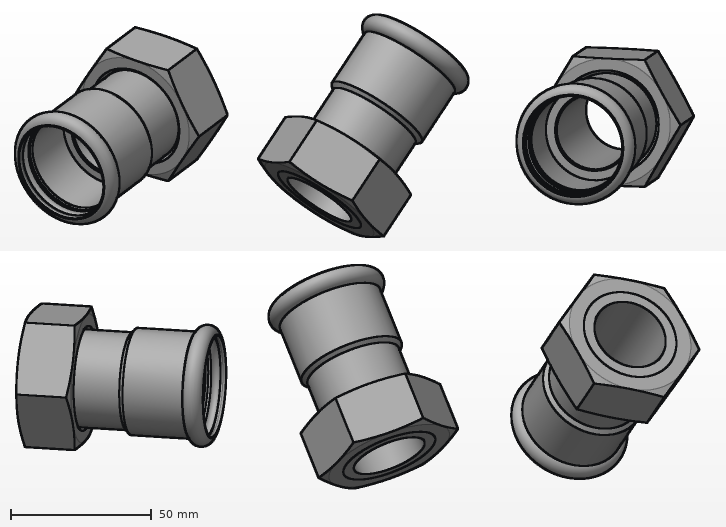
import cadquery as cq
import math

total_length = 67.1

neck_radius = 35.0 / 2
socket_radius = 38.4 / 2
bead_radius = 43.6 / 2
bead_length = 7.4
bead_round = bead_length / 2
shoulder_start = 29.1
shoulder_end = 30.75

bore_radius = 27.0 / 2
bore_chamfer = 0.5
socket_bore_radius = 34.75 / 2
socket_depth = 26.85
mouth_radius = 37.05 / 2
lip_radius = 35.8 / 2
lip_end = 1.1
lip_middle_radius = 18.05
lip_middle = 0.35
groove_radius = 39.1 / 2
groove_start = 2.0
groove_end = 5.4
taper_start = 6.45
taper_end = 7.3

across_flats = 46.0
nut_length = 20.0
nut_start = total_length - nut_length
corner_chamfer_angle = math.radians(15)
lead_in_radius = 37.45 / 2


def revolve_about_y(profile):
    """Turn a closed radius-against-Y profile into a solid."""
    return profile.close().revolve(360, (0, 0, 0), (0, 1, 0))


def make_chamfer_envelope(corner_radius):
    """Turned shape that bevels the hexagon corners at both nut faces."""
    face_radius = across_flats / 2
    drop = (corner_radius - face_radius) * math.tan(corner_chamfer_angle)
    return revolve_about_y(
        cq.Workplane("XY")
        .moveTo(0, nut_start)
        .lineTo(face_radius, nut_start)
        .lineTo(corner_radius, nut_start + drop)
        .lineTo(corner_radius, total_length - drop)
        .lineTo(face_radius, total_length)
        .lineTo(0, total_length)
    )


def make_nut_hole():
    """Hole that fits the neck, with a 45 degree lead-in on the socket side."""
    lead_in_depth = lead_in_radius - neck_radius
    return revolve_about_y(
        cq.Workplane("XY")
        .moveTo(0, nut_start)
        .lineTo(lead_in_radius, nut_start)
        .lineTo(neck_radius, nut_start + lead_in_depth)
        .lineTo(neck_radius, total_length)
        .lineTo(0, total_length)
    )


def make_nut():
    """Hexagon nut with two corners on the X axis."""
    corner_radius = across_flats / 2 / math.cos(math.pi / 6)
    hexagon = (
        cq.Workplane("XZ", origin=(0, total_length, 0))
        .polygon(6, 2 * corner_radius)
        .extrude(nut_length)
    )
    return hexagon.intersect(make_chamfer_envelope(corner_radius)).cut(make_nut_hole())


def make_fitting():
    """Turned press fitting: rounded bead, socket, neck and through bore."""
    bead_flat_radius = bead_radius - bead_round
    groove_middle = (groove_start + groove_end) / 2
    outside = (
        cq.Workplane("XY")
        .moveTo(mouth_radius, 0)
        .lineTo(bead_flat_radius, 0)
        .threePointArc((bead_radius, bead_round), (bead_flat_radius, bead_length))
        .lineTo(socket_radius, bead_length)
        .lineTo(socket_radius, shoulder_start)
        .lineTo(neck_radius, shoulder_end)
        .lineTo(neck_radius, total_length)
    )
    return revolve_about_y(
        outside
        .lineTo(bore_radius, total_length)
        .lineTo(bore_radius, socket_depth + bore_chamfer)
        .lineTo(bore_radius + bore_chamfer, socket_depth)
        .lineTo(socket_bore_radius, socket_depth)
        .lineTo(socket_bore_radius, taper_end)
        .lineTo(lip_radius, taper_start)
        .lineTo(lip_radius, groove_end)
        .threePointArc((groove_radius, groove_middle), (lip_radius, groove_start))
        .lineTo(lip_radius, lip_end)
        .threePointArc((lip_middle_radius, lip_middle), (mouth_radius, 0))
    )


nut = make_nut()
fitting = make_fitting()
result = cq.Compound.makeCompound([nut.val(), fitting.val()])